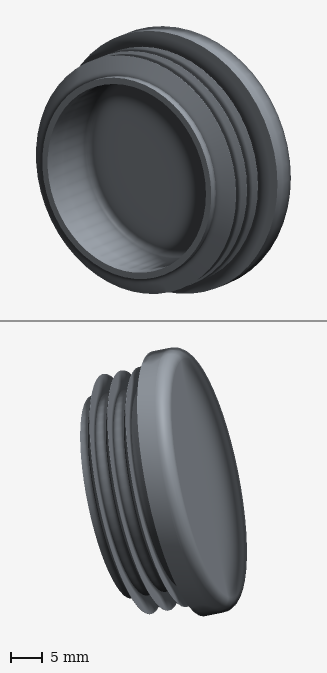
import cadquery as cq

CAP_DIAMETER = 42.4
TOTAL_LENGTH = 16.0
CAP_THICKNESS = 5.0
CAP_EDGE_RADIUS = 2.0

STEM_DIAMETER = 32.48
STEM_WALL = 1.0
BORE_FLOOR_RADIUS = 1.0
CAP_FLOOR_THICKNESS = 5.0

FIN_DIAMETER = 38.45
FIN_COUNT = 3
FIN_PITCH = 2.95
FIN_ROOT_THICKNESS = 1.27
FIN_TIP_THICKNESS = 0.05
FIRST_FIN_GAP = 2.5
FIN_OVERLAP = STEM_WALL / 2

STEM_LENGTH = TOTAL_LENGTH - CAP_THICKNESS
BORE_DIAMETER = STEM_DIAMETER - 2 * STEM_WALL
BORE_DEPTH = TOTAL_LENGTH - CAP_FLOOR_THICKNESS


def cylinder_along_y(diameter, start, length):
    """Solid cylinder on the Y axis, running from y = start towards +Y."""
    plane = cq.Workplane("XZ", origin=(0, start, 0))
    return plane.circle(diameter / 2).extrude(-length)


def make_cap():
    """Disc whose outer end has a rounded rim; its inner face is at y = 0."""
    cap = cylinder_along_y(CAP_DIAMETER, 0, CAP_THICKNESS)
    return cap.faces(">Y").edges().fillet(CAP_EDGE_RADIUS)


def make_fin(flat_face_y):
    """Ring with a flat face towards the cap and a cone on the other side."""
    root_radius = STEM_DIAMETER / 2
    tip_radius = FIN_DIAMETER / 2
    inner_radius = root_radius - FIN_OVERLAP
    root_y = flat_face_y - FIN_ROOT_THICKNESS
    profile = [
        (inner_radius, flat_face_y),
        (tip_radius, flat_face_y),
        (tip_radius, flat_face_y - FIN_TIP_THICKNESS),
        (root_radius, root_y),
        (inner_radius, root_y),
    ]
    return cq.Workplane("XY").polyline(profile).close().revolve(360, (0, 0, 0), (0, 1, 0))


def make_bore():
    """Blind bore from the open end, with a rounded corner at its floor."""
    bore = cylinder_along_y(BORE_DIAMETER, -STEM_LENGTH, BORE_DEPTH)
    return bore.faces(">Y").edges().fillet(BORE_FLOOR_RADIUS)


result = make_cap().union(cylinder_along_y(STEM_DIAMETER, -STEM_LENGTH, STEM_LENGTH))
for fin_index in range(FIN_COUNT):
    result = result.union(make_fin(-FIRST_FIN_GAP - fin_index * FIN_PITCH))
result = result.cut(make_bore())